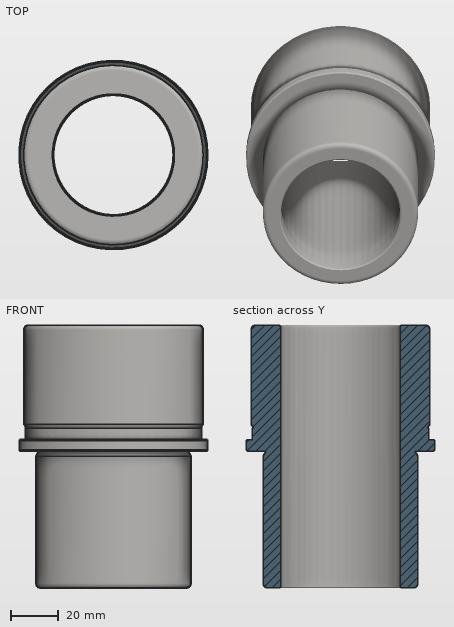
import cadquery as cq

total_height = 110.0
bore_radius = 25.0
bore_chamfer = 0.5

spigot_radius = 32.5
spigot_end_round = 2.0
spigot_taper_inset = 1.1
spigot_taper_height = 2.0

collar_radius = 39.5
collar_bottom = 57.2
collar_height = 5.0
collar_chamfer = 0.5

neck_radius = 37.0
neck_height = 4.7

head_radius = 37.5
head_taper_height = 1.6
head_taper_inset = 1.0
head_top_round = 2.0

collar_top = collar_bottom + collar_height
head_bottom = collar_top + neck_height
taper_bottom = collar_bottom - spigot_taper_height


def turned_body():
    """Solid of revolution carrying every outer step except the end rounds."""
    profile = (
        cq.Workplane("XZ")
        .lineTo(spigot_radius, 0)
        .lineTo(spigot_radius, taper_bottom)
        .lineTo(spigot_radius - spigot_taper_inset, collar_bottom)
        .lineTo(collar_radius - collar_chamfer, collar_bottom)
        .lineTo(collar_radius, collar_bottom + collar_chamfer)
        .lineTo(collar_radius, collar_top - collar_chamfer)
        .lineTo(collar_radius - collar_chamfer, collar_top)
        .lineTo(neck_radius, collar_top)
        .lineTo(neck_radius, head_bottom)
        .lineTo(head_radius - head_taper_inset, head_bottom)
        .lineTo(head_radius, head_bottom + head_taper_height)
        .lineTo(head_radius, total_height)
        .lineTo(0, total_height)
        .close()
    )
    return profile.revolve(360, (0, 0, 0), (0, 1, 0))


def round_ends(body):
    """Round the outer edge of each end face."""
    body = body.faces(">Z").edges().fillet(head_top_round)
    return body.faces("<Z").edges().fillet(spigot_end_round)


def cut_bore(body):
    """Through bore with a small chamfer at both mouths."""
    mouth_radius = bore_radius + bore_chamfer
    bore = (
        cq.Workplane("XZ")
        .lineTo(mouth_radius, 0)
        .lineTo(bore_radius, bore_chamfer)
        .lineTo(bore_radius, total_height - bore_chamfer)
        .lineTo(mouth_radius, total_height)
        .lineTo(0, total_height)
        .close()
        .revolve(360, (0, 0, 0), (0, 1, 0))
    )
    return body.cut(bore)


result = cut_bore(round_ends(turned_body()))